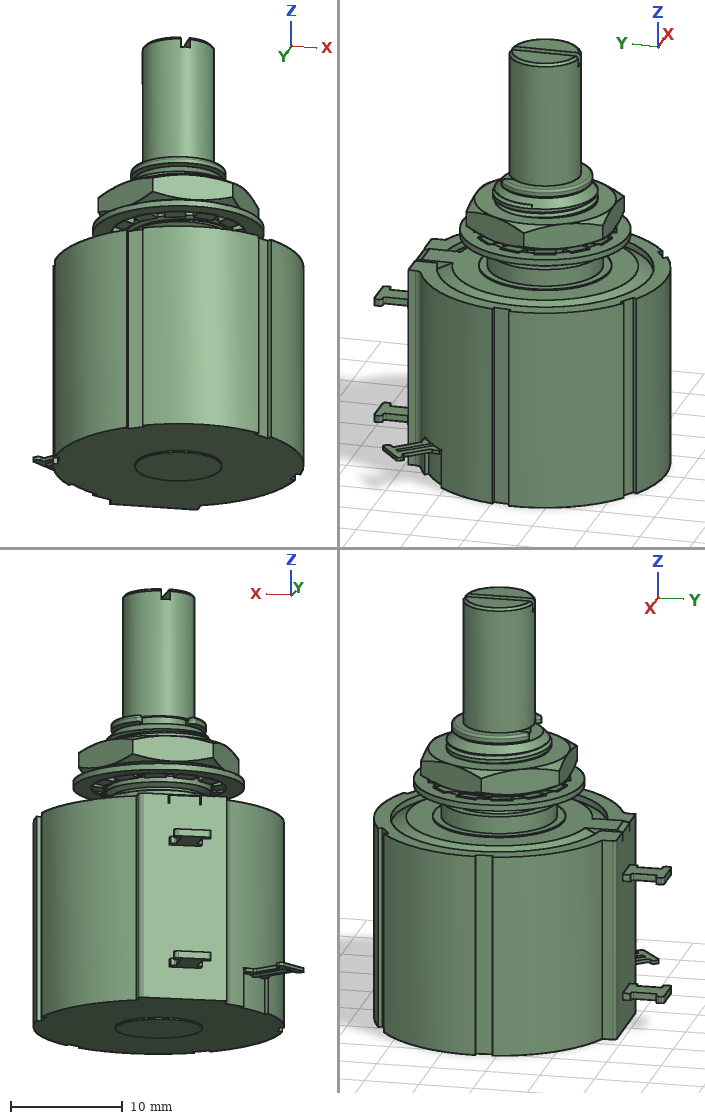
import cadquery as cq
import math

total_height = 39.73
base_disc_height = 0.15
housing_top = 18.9
cap_top = 19.05
cap_ring_top = 19.15
pilot_top = 20.75
relief_bottom = 21.0
relief_top = 21.25
thread_bottom = 21.6
thread_chamfer_bottom = 26.4
bushing_top = 27.15
clip_bottom = 27.37
clip_top = 28.0

housing_radius = 11.25
base_disc_radius = 3.9
notch_width = 1.55
notch_floor_radius = 10.8
notch_angles = (5.7, 174.3, 238.0, 302.0)
pad_left = -3.85
pad_right = 4.17
pad_face_y = 11.7
pad_root_fillet = 0.7
pad_corner_fillet = 0.3

cap_recess_radius = 9.75
cap_recess_depth = 0.6
cap_plateau_radius = 8.35
cap_ring_radius = 5.95
tab_slot_width = 3.0
tab_width = 2.8
tab_slope_length = 0.55
tab_slope_drop = 0.2
tab_depth = 0.8

pilot_radius = 5.2
relief_radius = 4.17
relief_flare = 0.15
thread_radius = 4.73
bushing_top_radius = 3.97
thread_pitch = 0.8
thread_turns = 6
thread_start = 21.8
thread_groove_width = 0.48
thread_groove_depth = 0.35

shaft_radius = 3.2
shaft_chamfer = 0.25
screwdriver_slot_width = 0.85
screwdriver_slot_depth = 1.0
neck_radius = 2.82
clip_radius = 4.25
clip_edge_fillet = 0.25
clip_opening_width = 4.2
clip_end_fillet = 0.4

nut_flats = 12.7
nut_bottom = 23.15
nut_top = 25.5
nut_chamfer_height = 0.5

washer_radius = 7.65
washer_inner_radius = 6.05
washer_bottom = 22.1
washer_thickness = 0.55
tooth_count = 12
tooth_first_angle = 15.0
tooth_width = 1.9
tooth_inner_radius = 4.9
tooth_outer_radius = 6.45
tooth_tilt = 9.0

terminal_head_length = 0.75
terminal_head_width = 3.35
terminal_head_fillet = 0.28
terminal_neck_width = 1.9
terminal_neck_fillet = 0.15
terminal_root = 9.95
straight_terminal_tip = 15.5
straight_terminal_width = 2.85
straight_terminal_shoulder = 12.4
straight_terminal_thickness = 0.65
straight_terminal_bottoms = (14.25, 3.05)
side_terminal_angle = 130.2
side_terminal_tip = 15.38
side_terminal_width = 3.25
side_terminal_shoulder = 11.72
side_terminal_shoulder_chamfer = 0.48
side_terminal_thickness = 0.3
side_terminal_top = 3.7
side_groove_start = 9.95
side_groove_end = 14.62
side_groove_radius = 0.25
side_rib_radius = 0.48
side_pocket_width = 3.5
side_pocket_floor_radius = 10.85
side_pocket_top = 3.77


def disc(radius, bottom, top):
    """Solid cylinder on the Z axis between two heights."""
    return cq.Workplane("XY").workplane(offset=bottom).circle(radius).extrude(top - bottom)


def revolved(profile):
    """Solid turned about the Z axis from (radius, height) points."""
    return cq.Workplane("XZ").polyline(profile).close().revolve(360, (0, 0, 0), (0, 1, 0))


def block(x_range, y_range, z_range):
    """Axis-aligned box given by its limits along X, Y and Z."""
    size = [high - low for low, high in (x_range, y_range, z_range)]
    corner = (x_range[0], y_range[0], z_range[0])
    return cq.Workplane("XY").box(*size, centered=False).translate(corner)


def turned_about_axis(shape, angle):
    return shape.rotate((0, 0, 0), (0, 0, 1), angle)


def make_case():
    """Round case with the flat terminal pad, outside notches and base disc."""
    z_range = (base_disc_height, housing_top)
    pad = block((pad_left, pad_right), (0, pad_face_y), z_range)
    case = disc(housing_radius, *z_range).union(pad)
    root_y = math.sqrt(housing_radius**2 - pad_left**2)
    middle = (base_disc_height + housing_top) / 2
    case = case.edges(cq.NearestToPointSelector((pad_left, root_y, middle))).fillet(pad_root_fillet)
    case = case.edges(cq.NearestToPointSelector((pad_right, pad_face_y, middle))).fillet(pad_corner_fillet)

    notch = block(
        (notch_floor_radius, 2 * housing_radius),
        (-notch_width / 2, notch_width / 2),
        z_range,
    )
    for angle in notch_angles:
        case = case.cut(turned_about_axis(notch, angle))
    return case.union(disc(base_disc_radius, 0, base_disc_height))


def cut_side_pocket(case):
    """Shallow curved pocket, open at the bottom, around the side terminal."""
    z_range = (base_disc_height, side_pocket_top)
    pocket = block((0, 2 * housing_radius), (-side_pocket_width / 2, side_pocket_width / 2), z_range)
    pocket = pocket.cut(disc(side_pocket_floor_radius, *z_range))
    return case.cut(turned_about_axis(pocket, side_terminal_angle))


def add_cap(case):
    """Conical cap in a round recess, with an index tab running out through the pad."""
    recess_floor = housing_top - cap_recess_depth
    tab_floor = housing_top - tab_depth
    case = case.cut(disc(cap_recess_radius, recess_floor, housing_top))
    tab_slot = block(
        (-tab_slot_width / 2, tab_slot_width / 2), (cap_plateau_radius, pad_face_y), (tab_floor, housing_top)
    )
    case = case.cut(tab_slot)
    cap = revolved([
        (0, tab_floor),
        (cap_recess_radius, tab_floor),
        (cap_recess_radius, recess_floor),
        (cap_plateau_radius, cap_top),
        (0, cap_top),
    ])
    tab = (
        cq.Workplane("YZ")
        .polyline([
            (0, tab_floor),
            (pad_face_y, tab_floor),
            (pad_face_y, cap_top - tab_slope_drop),
            (pad_face_y - tab_slope_length, cap_top),
            (0, cap_top),
        ])
        .close()
        .extrude(tab_width / 2, both=True)
    )
    ring = disc(cap_ring_radius, cap_top, cap_ring_top)
    return case.union(cap).union(tab).union(ring)


def make_thread_groove():
    """Right-hand helical V groove that starts and ends on the -X side."""
    root_radius = thread_radius - thread_groove_depth
    mouth_radius = thread_radius + thread_groove_depth
    mouth_half_width = thread_groove_width
    height = thread_pitch * thread_turns
    path = cq.Wire.makeHelix(thread_pitch, height, root_radius)
    groove = (
        cq.Workplane("XZ")
        .polyline([(root_radius, 0), (mouth_radius, mouth_half_width), (mouth_radius, -mouth_half_width)])
        .close()
        .sweep(cq.Workplane(path), isFrenet=True)
    )
    return turned_about_axis(groove, 180).translate((0, 0, thread_start))


def make_bushing():
    blank = revolved([
        (0, cap_ring_top),
        (pilot_radius, cap_ring_top),
        (pilot_radius, pilot_top),
        (relief_radius + relief_flare, pilot_top),
        (relief_radius, relief_bottom),
        (relief_radius, relief_top),
        (thread_radius, thread_bottom),
        (thread_radius, thread_chamfer_bottom),
        (bushing_top_radius, bushing_top),
        (0, bushing_top),
    ])
    return blank.cut(make_thread_groove())


def make_shaft():
    """Slotted shaft on a thinner neck."""
    shaft = disc(shaft_radius, clip_top, total_height).faces(">Z").chamfer(shaft_chamfer)
    slot = block(
        (-screwdriver_slot_width / 2, screwdriver_slot_width / 2),
        (-2 * shaft_radius, 2 * shaft_radius),
        (total_height - screwdriver_slot_depth, total_height),
    )
    return shaft.cut(slot).union(disc(neck_radius, bushing_top, clip_top))


def make_clip():
    """Retaining ring around the neck, open toward +Y."""
    half_opening = clip_opening_width / 2
    opening = block((-half_opening, half_opening), (0, 2 * clip_radius), (clip_bottom, clip_top))
    clip = disc(clip_radius, clip_bottom, clip_top).cut(opening)
    end_y = math.sqrt(clip_radius**2 - half_opening**2)
    middle = (clip_bottom + clip_top) / 2
    for end_x in (-half_opening, half_opening):
        clip = clip.edges(cq.NearestToPointSelector((end_x, end_y, middle))).fillet(clip_end_fillet)
    return clip.faces(">Z").edges().fillet(clip_edge_fillet)


def make_nut():
    """Hexagon with corners on the X axis and both faces chamfered to the flats."""
    flat_radius = nut_flats / 2
    corner_radius = flat_radius / math.cos(math.pi / 6)
    hexagon = (
        cq.Workplane("XY")
        .workplane(offset=nut_bottom)
        .polygon(6, 2 * corner_radius)
        .extrude(nut_top - nut_bottom)
    )
    chamfer_envelope = revolved([
        (0, nut_bottom),
        (flat_radius, nut_bottom),
        (corner_radius, nut_bottom + nut_chamfer_height),
        (corner_radius, nut_top - nut_chamfer_height),
        (flat_radius, nut_top),
        (0, nut_top),
    ])
    return hexagon.intersect(chamfer_envelope)


def make_terminal(tip, width, shoulder, thickness, bottom):
    """Flat T-headed terminal pointing along +X."""
    head_start = tip - terminal_head_length
    root = block((terminal_root, shoulder), (-width / 2, width / 2), (0, thickness))
    neck = block(
        (terminal_root, tip), (-terminal_neck_width / 2, terminal_neck_width / 2), (0, thickness)
    )
    head = block(
        (head_start, tip), (-terminal_head_width / 2, terminal_head_width / 2), (0, thickness)
    )
    head = head.edges("|Z").fillet(terminal_head_fillet)
    terminal = root.union(neck).union(head)
    for x in (shoulder, head_start):
        for y in (-terminal_neck_width / 2, terminal_neck_width / 2):
            inside_corner = cq.NearestToPointSelector((x, y, thickness / 2))
            terminal = terminal.edges(inside_corner).fillet(terminal_neck_fillet)
    return terminal.translate((0, 0, bottom))


def round_bar(radius, start, end, height):
    """Cylinder along X at a given height, for the stiffening groove and its rib."""
    return cq.Workplane("YZ", origin=(start, 0, height)).circle(radius).extrude(end - start)


def make_side_terminal():
    """Thin terminal stiffened by a pressed groove that shows as a rib underneath."""
    bottom = side_terminal_top - side_terminal_thickness
    terminal = make_terminal(
        side_terminal_tip, side_terminal_width, side_terminal_shoulder, side_terminal_thickness, bottom
    )
    for y in (-side_terminal_width / 2, side_terminal_width / 2):
        shoulder_corner = cq.NearestToPointSelector((side_terminal_shoulder, y, side_terminal_top))
        terminal = terminal.edges("|Z").edges(shoulder_corner).chamfer(side_terminal_shoulder_chamfer)
    extra = side_rib_radius - side_groove_radius
    rib = round_bar(side_rib_radius, side_groove_start, side_groove_end + extra, side_terminal_top)
    lower_half = block(
        (0, side_terminal_tip), (-side_rib_radius, side_rib_radius), (0, side_terminal_top)
    )
    terminal = terminal.union(rib.intersect(lower_half))
    groove = round_bar(side_groove_radius, side_groove_start, side_groove_end, side_terminal_top)
    return turned_about_axis(terminal.cut(groove), side_terminal_angle)


def make_potentiometer():
    """Housing, bushing, nut, shaft, clip and terminals as one solid."""
    body = add_cap(cut_side_pocket(make_case()))
    parts = [make_bushing(), make_nut(), make_shaft(), make_clip(), make_side_terminal()]
    for bottom in straight_terminal_bottoms:
        terminal = make_terminal(
            straight_terminal_tip,
            straight_terminal_width,
            straight_terminal_shoulder,
            straight_terminal_thickness,
            bottom,
        )
        parts.append(turned_about_axis(terminal, 90))
    for part in parts:
        body = body.union(part)
    return body


def make_lock_washer():
    """Flat ring with teeth that slope down toward the thread without touching it."""
    middle = washer_bottom + washer_thickness / 2
    washer = disc(washer_radius, washer_bottom, washer_bottom + washer_thickness)
    washer = washer.cut(disc(washer_inner_radius, washer_bottom, washer_bottom + washer_thickness))
    tooth = (
        cq.Workplane("XY")
        .box(tooth_outer_radius - tooth_inner_radius, tooth_width, washer_thickness)
        .rotate((0, 0, 0), (0, 1, 0), -tooth_tilt)
        .translate(((tooth_inner_radius + tooth_outer_radius) / 2, 0, middle))
    )
    for index in range(tooth_count):
        washer = washer.union(turned_about_axis(tooth, tooth_first_angle + index * 360 / tooth_count))
    return washer


potentiometer = make_potentiometer()
lock_washer = make_lock_washer()

result = cq.Compound.makeCompound([potentiometer.val(), lock_washer.val()])